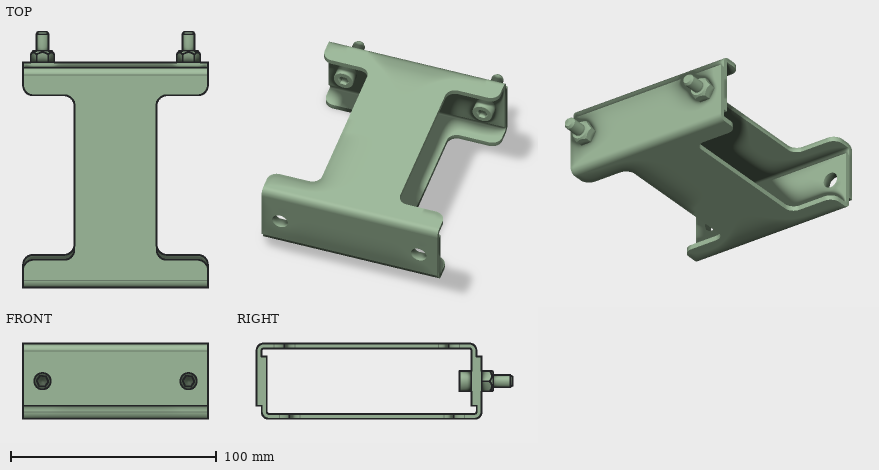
import cadquery as cq
import math

length = 90.0
pair_height = 36.72
channel_height = 30.4
channel_width = 107.0
sheet = 2.5
bend_inside = 1.0
bend_outside = bend_inside + sheet

waist_width = 40.0
end_depth = 13.5
corner_radius = 5.0

screw_spacing = 71.0
hole_diameter = 8.0

shank_diameter = 6.0
tip_length = 1.2
tip_diameter = 4.3
head_diameter = 10.0
head_height = 5.8
head_chamfer = 0.2
socket_flats = 5.0
socket_depth = 3.0
socket_turn = 5.0
shank_projection = 15.0

nut_flats = 10.0
nut_height = 5.7
nut_face_diameter = 8.8
nut_chamfer_height = 1.8

waist_gap = (length - waist_width) / 2
half_height = pair_height / 2
half_width = channel_width / 2
shift = sheet / 2
web_inside = half_width - sheet - shift
web_outside = half_width + shift
screw_positions = (-screw_spacing / 2, screw_spacing / 2)


def corners_across(flats):
    """Corner-to-corner diameter of a hexagon with the given width across flats."""
    return flats / math.cos(math.pi / 6)


def plan_blank():
    """Full-height block with the H plan of a channel: rounded ends and rounded inner corners."""
    blank = cq.Workplane("XY").rect(length, channel_width).extrude(channel_height)
    for side in (-1, 1):
        notch = (
            cq.Workplane("XY")
            .center(side * (waist_width + waist_gap) / 2, 0)
            .rect(waist_gap, channel_width - 2 * end_depth)
            .extrude(channel_height)
        )
        blank = blank.cut(notch)
    notch_corners = []
    for x in (-length / 2, -waist_width / 2, waist_width / 2, length / 2):
        for y in (-half_width + end_depth, half_width - end_depth):
            notch_corners.append((x, y))
    for x, y in notch_corners:
        corner_edge = cq.selectors.NearestToPointSelector((x, y, channel_height / 2))
        blank = blank.edges(corner_edge).fillet(corner_radius)
    return blank


def channel():
    """One channel: cover at the top, two webs hanging down from it."""
    section = (
        cq.Workplane("XY")
        .box(length, channel_width, channel_height, centered=(True, True, False))
        .edges("|X and >Z")
        .fillet(bend_outside)
    )
    inside_height = channel_height - sheet
    cavity = (
        cq.Workplane("XY")
        .box(length, channel_width - 2 * sheet, inside_height, centered=(True, True, False))
        .edges("|X and >Z")
        .fillet(bend_inside)
    )
    return section.cut(cavity).intersect(plan_blank())


def front_holes():
    """Open holes through the front double web."""
    holes = cq.Workplane("XZ").pushPoints([(x, 0) for x in screw_positions])
    return holes.circle(hole_diameter / 2).extrude(channel_width)


def screw():
    """Cap screw along +Y, head against the inner face of the rear web."""
    head_start = web_inside - head_height
    tip = web_outside + shank_projection
    profile = [
        (0, head_start),
        (head_diameter / 2 - head_chamfer, head_start),
        (head_diameter / 2, head_start + head_chamfer),
        (head_diameter / 2, web_inside),
        (shank_diameter / 2, web_inside),
        (shank_diameter / 2, tip - tip_length),
        (tip_diameter / 2, tip),
        (0, tip),
    ]
    body = cq.Workplane("XY").polyline(profile).close().revolve(360, (0, 0), (0, 1))
    socket_radius = corners_across(socket_flats) / 2
    cone_depth = socket_radius / math.sqrt(3)
    cone_base = head_start + socket_depth
    hexagon = (
        cq.Workplane("XZ", origin=(0, head_start, 0))
        .polygon(6, 2 * socket_radius)
        .extrude(-(socket_depth + cone_depth))
        .rotate((0, 0, 0), (0, 1, 0), socket_turn)
    )
    drilled_space = (
        cq.Workplane("XY")
        .polyline([
            (0, head_start),
            (socket_radius, head_start),
            (socket_radius, cone_base),
            (0, cone_base + cone_depth),
        ])
        .close()
        .revolve(360, (0, 0), (0, 1))
    )
    return body.cut(hexagon.intersect(drilled_space))


def nut():
    """Hexagon nut against the outer face of the rear web, chamfered on its free face."""
    corners = corners_across(nut_flats)
    nut_end = web_outside + nut_height
    hexagon = (
        cq.Workplane("XZ", origin=(0, web_outside, 0))
        .polygon(6, corners)
        .extrude(-nut_height)
    )
    envelope = (
        cq.Workplane("XY")
        .polyline([
            (0, web_outside),
            (corners / 2, web_outside),
            (corners / 2, nut_end - nut_chamfer_height),
            (nut_face_diameter / 2, nut_end),
            (0, nut_end),
        ])
        .close()
        .revolve(360, (0, 0), (0, 1))
    )
    return hexagon.intersect(envelope)


upper = channel().translate((0, -shift, half_height - channel_height))
lower = upper.rotate((0, 0, 0), (1, 0, 0), 180)
result = upper.union(lower).cut(front_holes())

fastener = screw().union(nut())
for screw_x in screw_positions:
    result = result.union(fastener.translate((screw_x, 0, 0)))